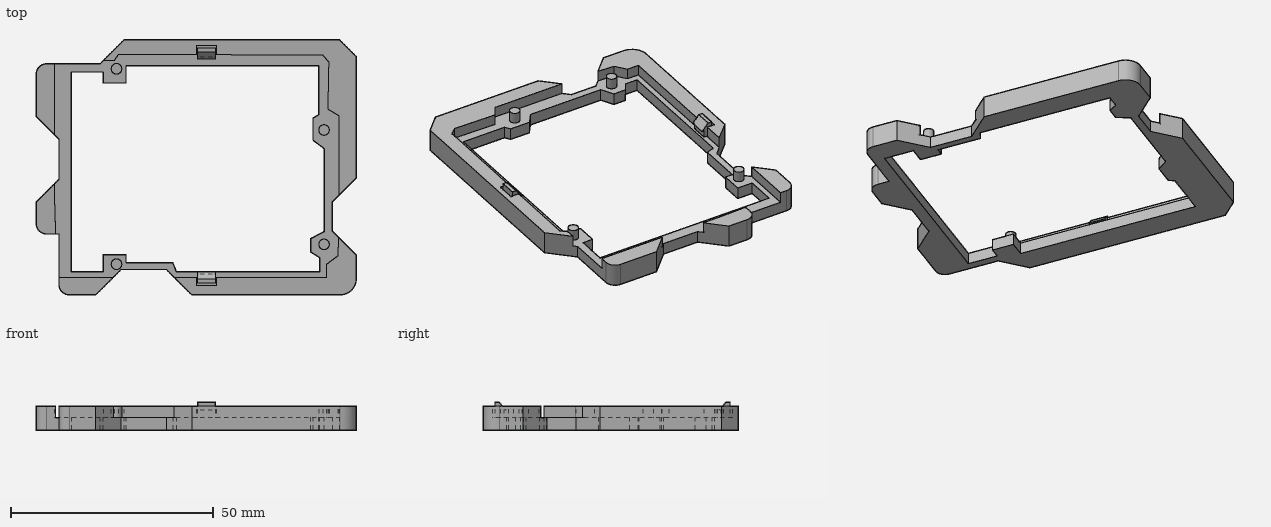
import cadquery as cq

LENGTH = 78.9
WIDTH = 62.9
BODY_HEIGHT = 6.0
LEDGE_HEIGHT = 3.15
CLIP_TOP = 6.95

TAB_ROOT_X = 5.6
TAB_TOP_Y = 56.95
TAB_BOTTOM_Y = 15.0
UPPER_SIDE_LEFT = 21.7
CORNER_CHAMFER = 4.2
SMALL_RADIUS = 2.6
LARGE_RADIUS = 4.0

LEFT_NOTCH_START = 28.5
LEFT_NOTCH_END = 38.3
BOTTOM_NOTCH_DEPTH = 6.2
BOTTOM_NOTCH_START = 20.9
BOTTOM_NOTCH_END = 32.1
RIGHT_NOTCH_DEPTH = 5.9
RIGHT_NOTCH_START = 15.8
RIGHT_NOTCH_END = 22.9

WINDOW_LEFT = 8.7
WINDOW_BOTTOM = 5.75
PAD_LEFT = 16.5
PAD_RIGHT = 22.2

TAB_WALL_X = 4.6
LOW_TAB_WALL_X = 4.8
BOTTOM_WALL_Y = 4.3
RIGHT_WALL_X = 74.6
TOP_WALL_START_X = 14.2
TOP_WALL_STEP_Y = 57.75

PIN_DIAMETER = 2.6
PIN_TOP = BODY_HEIGHT
LEFT_PIN_X = 19.8
RIGHT_PIN_X = 70.9
PIN_CENTRES = [
    (LEFT_PIN_X, 7.6),
    (LEFT_PIN_X, 55.7),
    (RIGHT_PIN_X, 12.5),
    (RIGHT_PIN_X, 40.6),
]

CLIP_CENTRE_X = 42.0
CLIP_WIDTH = 4.3
CLIP_FLAT = 1.0
CLIP_RAMP = 1.7
CLIP_DROP = 2.0
CLIP_STEM = 2.2
POCKET_WIDTH = 4.9
POCKET_GAP = 0.6
BOTTOM_CLIP_BACK_Y = 2.9
TOP_CLIP_BACK_Y = 60.8


def prism(points, bottom, top):
    return cq.Workplane("XY").workplane(offset=bottom).polyline(points).close().extrude(top - bottom)


def outer_body():
    right_notch_x = LENGTH - RIGHT_NOTCH_DEPTH
    outline = [
        (0, TAB_TOP_Y),
        (0, LEFT_NOTCH_END + TAB_ROOT_X),
        (TAB_ROOT_X, LEFT_NOTCH_END),
        (TAB_ROOT_X, LEFT_NOTCH_START),
        (0, LEFT_NOTCH_START - TAB_ROOT_X),
        (0, TAB_BOTTOM_Y),
        (TAB_ROOT_X, TAB_BOTTOM_Y),
        (TAB_ROOT_X, 0),
        (BOTTOM_NOTCH_START - BOTTOM_NOTCH_DEPTH, 0),
        (BOTTOM_NOTCH_START, BOTTOM_NOTCH_DEPTH),
        (BOTTOM_NOTCH_END, BOTTOM_NOTCH_DEPTH),
        (BOTTOM_NOTCH_END + BOTTOM_NOTCH_DEPTH, 0),
        (LENGTH, 0),
        (LENGTH, RIGHT_NOTCH_START - RIGHT_NOTCH_DEPTH),
        (right_notch_x, RIGHT_NOTCH_START),
        (right_notch_x, RIGHT_NOTCH_END),
        (LENGTH, RIGHT_NOTCH_END + RIGHT_NOTCH_DEPTH),
        (LENGTH, WIDTH - CORNER_CHAMFER),
        (LENGTH - CORNER_CHAMFER, WIDTH),
        (UPPER_SIDE_LEFT, WIDTH),
        (UPPER_SIDE_LEFT - (WIDTH - TAB_TOP_Y), TAB_TOP_Y),
    ]
    rounded_corners = [
        (0, TAB_TOP_Y, SMALL_RADIUS),
        (0, TAB_BOTTOM_Y, SMALL_RADIUS),
        (TAB_ROOT_X, 0, SMALL_RADIUS),
        (LENGTH, 0, LARGE_RADIUS),
    ]
    body = prism(outline, 0, BODY_HEIGHT)
    for x, y, radius in rounded_corners:
        corner = cq.selectors.NearestToPointSelector((x, y, BODY_HEIGHT / 2))
        body = body.edges("|Z").edges(corner).fillet(radius)
    return body


def window():
    outline = [
        (WINDOW_LEFT, WINDOW_BOTTOM),
        (WINDOW_LEFT, 54.9),
        (PAD_LEFT, 54.9),
        (PAD_LEFT, 52.15),
        (PAD_RIGHT, 52.15),
        (PAD_RIGHT, 56.4),
        (69.6, 56.4),
        (69.6, 44.4),
        (68.15, 43.55),
        (68.15, 38.1),
        (70.9, 36.05),
        (70.9, 15.6),
        (67.6, 13.9),
        (67.6, 10.6),
        (69.8, 9.15),
        (69.8, WINDOW_BOTTOM),
        (34.55, WINDOW_BOTTOM),
        (33.7, 8.0),
        (PAD_RIGHT, 8.0),
        (PAD_RIGHT, 9.9),
        (PAD_LEFT, 9.9),
        (PAD_LEFT, WINDOW_BOTTOM),
    ]
    return prism(outline, 0, BODY_HEIGHT)


def ledge_recess():
    """Material removed above the ledge, inside the raised wall."""
    outline = [
        (TAB_WALL_X, WIDTH),
        (TAB_WALL_X, 22.8),
        (LOW_TAB_WALL_X, TAB_BOTTOM_Y),
        (LOW_TAB_WALL_X, BOTTOM_WALL_Y),
        (71.5, BOTTOM_WALL_Y),
        (71.5, 7.5),
        (74.3, 9.6),
        (RIGHT_WALL_X, RIGHT_NOTCH_START),
        (RIGHT_WALL_X, 44.1),
        (71.85, 45.75),
        (72.1, 57.35),
        (70.6, 59.1),
        (20.3, 59.2),
        (19.25, TOP_WALL_STEP_Y),
        (TOP_WALL_START_X, TOP_WALL_STEP_Y),
        (TOP_WALL_START_X, WIDTH),
    ]
    return prism(outline, LEDGE_HEIGHT, BODY_HEIGHT)


def clip_pocket(back_y, inward):
    depth = POCKET_GAP + CLIP_FLAT + CLIP_RAMP
    middle_y = back_y + inward * (depth / 2 - POCKET_GAP)
    height = BODY_HEIGHT - LEDGE_HEIGHT
    pocket = cq.Workplane("XY").box(POCKET_WIDTH, depth, height, centered=(True, True, False))
    return pocket.translate((CLIP_CENTRE_X, middle_y, LEDGE_HEIGHT))


def clip(back_y, inward):
    """Hooked clip standing on the ledge; inward is +1 or -1 along Y."""
    stem_y = back_y + inward * CLIP_STEM
    tip_y = back_y + inward * (CLIP_FLAT + CLIP_RAMP)
    tip_z = CLIP_TOP - CLIP_DROP
    profile = [
        (back_y, LEDGE_HEIGHT),
        (back_y, CLIP_TOP),
        (back_y + inward * CLIP_FLAT, CLIP_TOP),
        (tip_y, tip_z),
        (stem_y, tip_z),
        (stem_y, LEDGE_HEIGHT),
    ]
    start_x = CLIP_CENTRE_X - CLIP_WIDTH / 2
    return cq.Workplane("YZ").workplane(offset=start_x).polyline(profile).close().extrude(CLIP_WIDTH)


def pins():
    plane = cq.Workplane("XY").workplane(offset=LEDGE_HEIGHT)
    return plane.pushPoints(PIN_CENTRES).circle(PIN_DIAMETER / 2).extrude(PIN_TOP - LEDGE_HEIGHT)


result = outer_body().cut(window()).cut(ledge_recess()).union(pins())
for back_y, inward in [(BOTTOM_CLIP_BACK_Y, 1), (TOP_CLIP_BACK_Y, -1)]:
    result = result.cut(clip_pocket(back_y, inward)).union(clip(back_y, inward))